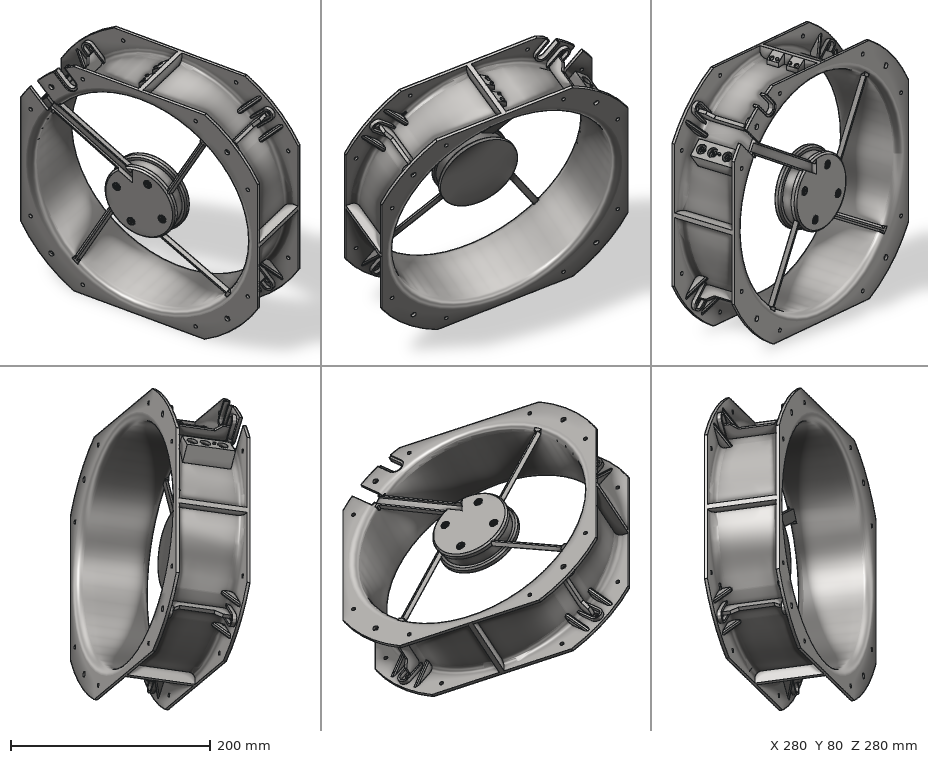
import cadquery as cq
import math


side = 280.0
depth = 80.0
corner_radius = 160.0
flange_t = 3.5
bore_r = 125.7
tube_wall = 2.2
bell_r = 7.8
bell_back_r = 6.7

side_hole_along = 66.5
side_hole_out = 128.2
side_hole_r = 2.0
corner_hole_at = 104.0
corner_hole_r = 2.8

web_t = 5.3

rib_t = 4.0
rib_mid_r = 137.5
rib_end_r = 143.5
rib_mid_half = 19.0
rib_end_half = 26.3
boss_centre_r = 149.8
boss_outer_r = 7.0
boss_wall = 2.2
boss_h = 4.5
gusset_offset = 18.0
gusset_t = 5.0
gusset_bevel = 1.5
gusset_tip_r = 154.0
gusset_h = 12.3

hub_face_r = 39.5
hub_rim_r = 41.5
hub_waist_r = 39.0
hub_ring_r = 44.0
hub_rim_t = 6.0
hub_ring_start = 18.8
hub_t = 24.5
hub_bevel = 2.0
hub_screw_circle_r = 28.5
hub_screw_angle = 70.0
hub_screw_pocket_r = 4.5
hub_screw_head_r = 3.5
hub_screw_depth = 2.2
cross_l = 5.0
cross_w = 1.5

spokes = ((62.2, 18.0), (-27.6, 18.0), (-117.6, 20.2))
spoke_end = 130.5
spoke_start = 25.2
spoke_base_w = 6.7
spoke_crest_w = 2.0
spoke_crest_gap = 1.5
spoke_base_gap = 5.5
spoke_foot_l = 6.2
spoke_foot_w = 10.0

arm_angle = 151.2
arm_offset = 20.2
arm_w = 12.5
arm_wall = 1.7
arm_front_gap = 2.8
arm_back_gap = 8.5
arm_foot_l = 6.7
arm_foot_w = 18.0
arm_channel_depth = 5.5
arm_end = 130.5
arm_channel_stop_x = -8.0

cable_gap_from = 10.5
cable_gap_to = 25.5
seat_r = 132.5
seat_far = 16.0

cradle_offset = 24.5
cradle_outer_r = 8.5
cradle_wall = 2.5
cradle_centre_r = 139.7
cradle_depth = 7.3
cradle_recess = 1.7

terminal_r = 138.0
terminal_from = 26.5
terminal_to = 46.2
terminal_foot = 48.5
terminal_foot_r = 117.5
terminal_back = 24.0
terminal_front = -28.3
terminal_screws = (15.7, 1.5, -17.5)
terminal_screw_r = 5.3
terminal_head_r = 3.0
terminal_socket_r = 1.5
terminal_screw_depth = 4.0
terminal_head_h = 1.5
terminal_pin_y = -7.8
terminal_pin_r = 1.5
pin_h = 1.7

clamp_w = 9.8
clamp_drop = 7.5
clamp_near = 5.3
clamp_far = 20.2
clamp_screw_y = 16.0
clamp_pin_y = 8.0
clamp_screw_r = 2.5
clamp_screw_depth = 2.2
clamp_pin_r = 1.7
clamp_fit = 0.75

half = side / 2
front = -depth / 2
back = depth / 2
inner_face = back - flange_t
tube_r = bore_r + tube_wall
bell_edge_r = bore_r + bell_r
embed_r = bore_r + tube_wall / 2
corner_angles = (45, 135, 225, 315)
cable_corner = 135


def block(x, y, z):
    """Box given by its (low, high) limits along each axis."""
    size = [high - low for low, high in (x, y, z)]
    return cq.Workplane().box(*size, centered=False).translate((x[0], y[0], z[0]))


def along_y(points, y_low, y_high):
    """Prism along Y of a polygon given as (x, z) points."""
    prism = cq.Workplane("XZ").polyline(points).close().extrude(y_low - y_high)
    return prism.translate((0, y_low, 0))


def rod(x, z, radius, y_low, y_high):
    """Cylinder along Y."""
    return cq.Workplane("XZ").circle(radius).extrude(y_low - y_high).translate((x, y_low, z))


def turn(shape, degrees):
    """Turn about the fan axis so that +X moves towards +Z."""
    return shape.rotate((0, 0, 0), (0, 1, 0), -degrees)


def mirrored(shape):
    """The shape together with its mirror image across the mid plane."""
    return shape.union(shape.mirror("XZ"))


def flange():
    plate = block((-half, half), (front, front + flange_t), (-half, half))
    return plate.intersect(rod(0, 0, corner_radius, front, back))


def about_axis(radius, bell_radius, face):
    """Solid of revolution about Y: a bar of this radius that flares with an arc at both faces."""
    wide = radius + bell_radius
    arc_y = face - bell_radius
    mid_r = wide - bell_radius * math.sqrt(0.5)
    mid_y = arc_y + bell_radius * math.sqrt(0.5)
    profile = (
        cq.Workplane("XY")
        .moveTo(0, -face)
        .lineTo(wide, -face)
        .threePointArc((mid_r, -mid_y), (radius, -arc_y))
        .lineTo(radius, arc_y)
        .threePointArc((mid_r, mid_y), (wide, face))
        .lineTo(0, face)
        .close()
    )
    return profile.revolve(360, (0, 0, 0), (0, 1, 0))


def flange_holes():
    spots = [(sx * a, sz * b, side_hole_r)
             for sx in (-1, 1) for sz in (-1, 1)
             for a, b in ((side_hole_along, side_hole_out), (side_hole_out, side_hole_along))]
    spots += [(sx * corner_hole_at, sz * corner_hole_at, corner_hole_r) for sx in (-1, 1) for sz in (-1, 1)]
    holes = cq.Workplane()
    for x, z, radius in spots:
        holes = holes.add(rod(x, z, radius, front, back))
    return holes.combine()


def web():
    return block((embed_r, half), (front, back), (-web_t / 2, web_t / 2))


def corner_rib():
    """Radial rib whose outer edge dips between the flanges."""
    edge = [
        (embed_r, -inner_face), (rib_end_r, -inner_face), (rib_end_r, -rib_end_half),
        (rib_mid_r, -rib_mid_half), (rib_mid_r, rib_mid_half), (rib_end_r, rib_end_half),
        (rib_end_r, inner_face), (embed_r, inner_face),
    ]
    return cq.Workplane("XY").polyline(edge).close().extrude(rib_t / 2, both=True)


def u_prism(centre_r, reach_r, radius, y_low, y_high):
    """Round-ended bar along X: full round at centre_r, running to reach_r."""
    ends = sorted((centre_r, reach_r))
    return rod(centre_r, 0, radius, y_low, y_high).union(
        block(ends, (y_low, y_high), (-radius, radius)))


def screw_boss():
    """U-shaped wall on the back flange, round the corner hole and open towards the tube."""
    low = inner_face - boss_h
    outer = u_prism(boss_centre_r, tube_r, boss_outer_r, low, inner_face)
    return outer.cut(u_prism(boss_centre_r, tube_r, boss_outer_r - boss_wall, low, inner_face))


def gusset(offset):
    """Triangular gusset between the tube and the back flange."""
    foot = [(embed_r, inner_face), (gusset_tip_r, inner_face), (embed_r, inner_face - gusset_h)]
    plate = cq.Workplane("XY").polyline(foot).close().extrude(gusset_t).translate((0, 0, -gusset_t / 2))
    crest = cq.selectors.NearestToPointSelector(
        ((embed_r + gusset_tip_r) / 2, inner_face - gusset_h / 2, 0))
    plate = plate.faces(crest).edges("#Z").chamfer(gusset_bevel)
    return plate.translate((0, 0, offset))


def cable_gap():
    return block((tube_r, corner_radius), (front, front + flange_t + bell_back_r),
                 (cable_gap_from, cable_gap_to))


def flange_tab():
    return block((seat_r, cradle_centre_r), (front, front + flange_t), (-seat_far, cable_gap_from))


def cradle_notch():
    """Round-bottomed notch that opens through the rim of the front flange."""
    notch = u_prism(cradle_centre_r, corner_radius, cradle_outer_r, front, front + cradle_depth)
    return notch.translate((0, 0, -cradle_offset))


def cradle_collar():
    """U-shaped wall that lines the notch, set back a little from the front face."""
    low, high = front + cradle_recess, front + cradle_depth
    collar = u_prism(cradle_centre_r, corner_radius, cradle_outer_r, low, high)
    collar = collar.cut(u_prism(cradle_centre_r, corner_radius, cradle_outer_r - cradle_wall, low, high))
    return collar.translate((0, 0, -cradle_offset)).intersect(rod(0, 0, corner_radius, low, high))


def terminal_block():
    outline = [(terminal_foot_r, terminal_from), (terminal_r, terminal_from), (terminal_r, terminal_to),
               (terminal_foot_r, terminal_foot)]
    body = along_y(outline, terminal_front, terminal_back)
    body = body.cut(rod(0, 0, embed_r, front, back))
    face = cq.Workplane("YZ", origin=(terminal_r, 0, (terminal_from + terminal_to) / 2))
    screws = face.pushPoints([(y, 0) for y in terminal_screws])
    body = body.cut(screws.circle(terminal_screw_r).extrude(-terminal_screw_depth))
    heads = screws.circle(terminal_head_r).circle(terminal_socket_r).extrude(terminal_head_h)
    heads = heads.translate((-terminal_screw_depth, 0, 0))
    pin = face.center(terminal_pin_y, 0).circle(terminal_pin_r).extrude(pin_h)
    return body.union(heads).union(pin)


def wire_clamps():
    """Two sloping blocks on the left of the top web, with a screw hole and a pin in each."""
    top_x = -web_t / 2
    outline = [(0, half), (top_x, half), (top_x - clamp_w, half - clamp_drop), (top_x - clamp_w, embed_r),
               (0, embed_r)]
    clamps = mirrored(along_y(outline, clamp_near, clamp_far))
    spot = (top_x - clamp_fit * clamp_w, 0, half - clamp_fit * clamp_drop)
    slope = cq.Workplane(cq.Plane(origin=spot, xDir=(0, 1, 0), normal=(-clamp_drop, 0, clamp_w)))
    holes = slope.pushPoints([(-clamp_screw_y, 0), (clamp_screw_y, 0)])
    holes = holes.circle(clamp_screw_r).extrude(-clamp_screw_depth)
    pins = slope.pushPoints([(-clamp_pin_y, 0), (clamp_pin_y, 0)]).circle(clamp_pin_r).extrude(pin_h)
    return clamps.cut(holes).union(pins)


def hub():
    profile = [
        (0, 0), (hub_face_r, 0), (hub_rim_r, hub_bevel), (hub_rim_r, hub_rim_t), (hub_waist_r, hub_rim_t),
        (hub_waist_r, hub_ring_start), (hub_ring_r - hub_bevel, hub_ring_start),
        (hub_ring_r, hub_ring_start + hub_bevel), (hub_ring_r, hub_t), (0, hub_t),
    ]
    body = cq.Workplane("XY").polyline(profile).close().revolve(360, (0, 0, 0), (0, 1, 0))
    return body.translate((0, front, 0))


def hub_screw_recess(angle):
    """Ring-shaped pocket round a screw head that carries an upright cross."""
    low, high = front, front + hub_screw_depth
    recess = rod(0, 0, hub_screw_pocket_r, low, high).cut(rod(0, 0, hub_screw_head_r, low, high))
    for length, width in ((cross_l, cross_w), (cross_w, cross_l)):
        recess = recess.union(block((-length / 2, length / 2), (low, high), (-width / 2, width / 2)))
    x = hub_screw_circle_r * math.cos(math.radians(angle))
    z = hub_screw_circle_r * math.sin(math.radians(angle))
    return recess.translate((x, 0, z))


def spoke(offset):
    """Spoke of tapered section with a wider foot on the bellmouth."""
    crest_y = front + spoke_crest_gap
    base_y = front + spoke_base_gap
    section = [(crest_y, -spoke_crest_w / 2), (crest_y, spoke_crest_w / 2),
               (base_y, spoke_base_w / 2), (base_y, -spoke_base_w / 2)]
    bar = cq.Workplane("YZ").polyline(section).close().extrude(spoke_end - spoke_start)
    bar = bar.translate((spoke_start, 0, 0))
    foot = along_y([(spoke_end - spoke_foot_l, -spoke_base_w / 2), (spoke_end, -spoke_foot_w / 2),
                    (spoke_end, spoke_foot_w / 2), (spoke_end - spoke_foot_l, spoke_base_w / 2)],
                   crest_y, base_y)
    return bar.union(foot).translate((0, 0, -offset))


def arm():
    """Cable arm from the hub to the flange gap, with a wider foot on the bellmouth."""
    span = (front + arm_front_gap, front + arm_back_gap)
    bar = block((spoke_start, arm_end), span, (-arm_w / 2, arm_w / 2))
    foot = block((arm_end - arm_foot_l, arm_end), span, (-arm_foot_w / 2, arm_foot_w / 2))
    return turn(bar.union(foot).translate((0, 0, -arm_offset)), arm_angle)


def arm_channel():
    """Channel along the front of the arm, widening in the hub to a pocket open at the rim."""
    channel_half = arm_w / 2 - arm_wall
    span = (front, front + arm_channel_depth)
    channel = block((0, half), span, (-channel_half, channel_half))
    pocket = block((-half, spoke_start), span, (-half, channel_half))
    opening = turn(channel.union(pocket).translate((0, 0, -arm_offset)), arm_angle)
    return opening.intersect(block((-half, arm_channel_stop_x), span, (0, half)))


result = about_axis(tube_r, bell_back_r, inner_face).union(mirrored(flange()))

for angle in (0, 90, 180, 270):
    result = result.union(turn(web(), angle))

for angle in corner_angles:
    result = result.union(turn(corner_rib(), angle)).union(turn(mirrored(screw_boss()), angle))
    if angle == cable_corner:
        result = result.union(turn(gusset(gusset_offset), angle))
    else:
        for offset in (-gusset_offset, gusset_offset):
            result = result.union(turn(mirrored(gusset(offset)), angle))

result = result.union(turn(flange_tab(), cable_corner)).cut(turn(cable_gap(), cable_corner))
result = result.cut(turn(cradle_notch(), cable_corner)).union(turn(cradle_collar(), cable_corner))
result = result.cut(flange_holes())
result = result.union(turn(terminal_block(), cable_corner)).union(wire_clamps())
result = result.cut(about_axis(bore_r, bell_r, back))

result = result.union(hub())
for angle, offset in spokes:
    result = result.union(turn(spoke(offset), angle))
result = result.union(arm()).cut(arm_channel())
for quarter in range(4):
    result = result.cut(hub_screw_recess(hub_screw_angle + 90 * quarter))